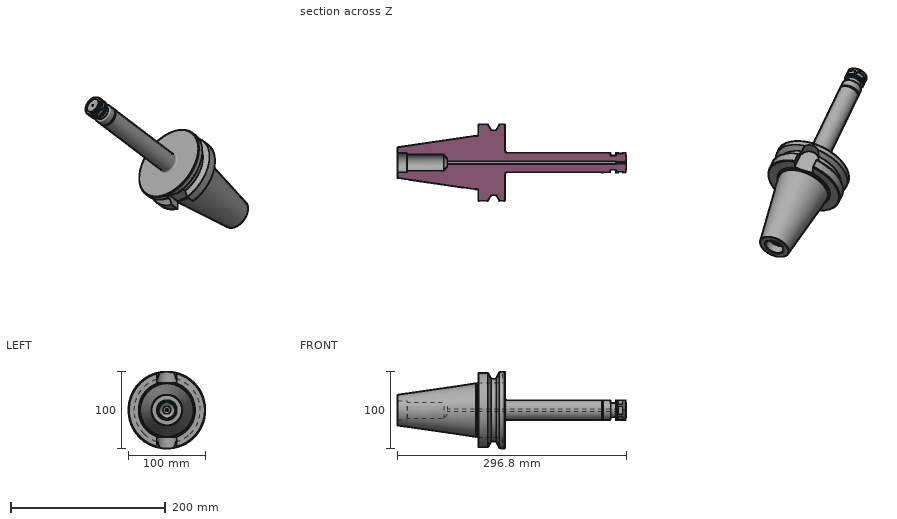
import cadquery as cq
import math


gauge_diameter = 69.85
gauge_radius = gauge_diameter / 2
taper_length = 101.8
taper_ratio = 7 / 24
taper_end_chamfer = 0.5
taper_end_radius = gauge_radius - taper_length * taper_ratio / 2

neck_radius = 34.4
neck_start = 1.3
neck_end = 2.1
neck_flare_radius = 36.7

flange_start = 3.0
flange_end = 38.0
flange_radius = 50.0
flange_chamfer = 1.0
groove_center = 23.1
groove_depth = 7.3
groove_floor_half = 3.2
groove_flank_angle = 30.0
groove_mouth_half = groove_floor_half + groove_depth * math.tan(math.radians(groove_flank_angle))

slot_width = 25.7
slot_floor = 35.4
slot_end = 34.0

stem_radius = 13.0
stem_root_fillet = 2.5
stem_end = 174.7
stem_tip_fillet = 1.6
ring_start = 163.2
ring_width = 1.7
ring_depth = 0.1
throat_radius = 9.5

nut_start = 181.6
nut_end = 194.3
nut_radius = 13.0
nut_tip_length = 0.8
nut_tip_radius = 12.6
nut_ring_start = 182.6
nut_ring_width = 0.8
collet_radius = 9.5
collet_end = 195.0
flat_count = 6
flat_start = 184.3
flat_end = 190.2
flat_distance = 11.9

mouth_radius = 13.0
mouth_chamfer = 0.7
pilot_radius = mouth_radius - mouth_chamfer
pilot_depth = 12.0
bore_radius = 10.5
bore_shoulder_angle = 60.0
bore_depth = 60.0
drill_half_angle = 50.0
cone_end_radius = 5.0
coolant_hole_radius = 1.75
collet_hole_radius = 0.85


def revolve_about_x(outline):
    """Turn a half outline, drawn as X and radius, into a solid about the X axis."""
    return outline.close().revolve(360, (0, 0, 0), (1, 0, 0))


def make_shank_and_flange():
    """Taper, neck and flange up to the flange's front face."""
    chamfer_outer_radius = taper_end_radius + taper_end_chamfer * taper_ratio / 2
    outline = (
        cq.Workplane("XY")
        .moveTo(-taper_length, 0)
        .lineTo(-taper_length, taper_end_radius - taper_end_chamfer)
        .lineTo(-taper_length + taper_end_chamfer, chamfer_outer_radius)
        .lineTo(0, gauge_radius)
        .lineTo(neck_start, neck_radius)
        .lineTo(neck_end, neck_radius)
        .lineTo(flange_start, neck_flare_radius)
        .lineTo(flange_start, flange_radius - flange_chamfer)
        .lineTo(flange_start + flange_chamfer, flange_radius)
        .lineTo(flange_end - flange_chamfer, flange_radius)
        .lineTo(flange_end, flange_radius - flange_chamfer)
        .lineTo(flange_end, 0)
    )
    return revolve_about_x(outline)


def make_gripper_groove():
    """Ring-shaped cutter for the trapezoidal groove around the flange."""
    floor_radius = flange_radius - groove_depth
    outline = (
        cq.Workplane("XY")
        .moveTo(groove_center - groove_mouth_half, flange_radius)
        .lineTo(groove_center - groove_floor_half, floor_radius)
        .lineTo(groove_center + groove_floor_half, floor_radius)
        .lineTo(groove_center + groove_mouth_half, flange_radius)
    )
    return revolve_about_x(outline)


def make_drive_slot(side):
    """Round-ended slot cutter, open toward the taper; side is +1 for +Z, -1 for -Z."""
    half_width = slot_width / 2
    arc_center = slot_end - half_width
    return (
        cq.Workplane("XY", origin=(0, 0, side * slot_floor))
        .moveTo(0, -half_width)
        .lineTo(arc_center, -half_width)
        .threePointArc((slot_end, 0), (arc_center, half_width))
        .lineTo(0, half_width)
        .close()
        .extrude(side * (flange_radius - slot_floor))
    )


def make_stem():
    """Stem with a filleted root, a shallow ring groove and a rounded tip, plus the throat."""
    ring_radius = stem_radius - ring_depth
    outline = (
        cq.Workplane("XY")
        .moveTo(flange_end, 0)
        .lineTo(flange_end, stem_radius + stem_root_fillet)
        .radiusArc((flange_end + stem_root_fillet, stem_radius), -stem_root_fillet)
        .lineTo(ring_start, stem_radius)
        .lineTo(ring_start, ring_radius)
        .lineTo(ring_start + ring_width, ring_radius)
        .lineTo(ring_start + ring_width, stem_radius)
        .lineTo(stem_end - stem_tip_fillet, stem_radius)
        .radiusArc((stem_end, stem_radius - stem_tip_fillet), stem_tip_fillet)
        .lineTo(stem_end, throat_radius)
        .lineTo(nut_start, throat_radius)
        .lineTo(nut_start, 0)
    )
    return revolve_about_x(outline)


def make_nut_flat(index):
    """Cutter for one wrench flat, turned about X to its place."""
    flat_length = flat_end - flat_start
    cutter_height = nut_radius - flat_distance
    cutter = (
        cq.Workplane("XY")
        .box(flat_length, cutter_height, 2 * nut_radius, centered=(False, False, True))
        .translate((flat_start, flat_distance, 0))
    )
    return cutter.rotate((0, 0, 0), (1, 0, 0), index * 360 / flat_count)


def make_nut():
    """Collet nut with a shallow ring groove and wrench flats, plus the collet face."""
    ring_radius = nut_radius - ring_depth
    outline = (
        cq.Workplane("XY")
        .moveTo(nut_start, 0)
        .lineTo(nut_start, nut_radius)
        .lineTo(nut_ring_start, nut_radius)
        .lineTo(nut_ring_start, ring_radius)
        .lineTo(nut_ring_start + nut_ring_width, ring_radius)
        .lineTo(nut_ring_start + nut_ring_width, nut_radius)
        .lineTo(nut_end - nut_tip_length, nut_radius)
        .lineTo(nut_end, nut_tip_radius)
        .lineTo(nut_end, collet_radius)
        .lineTo(collet_end, collet_radius)
        .lineTo(collet_end, 0)
    )
    nut = revolve_about_x(outline)
    for index in range(flat_count):
        nut = nut.cut(make_nut_flat(index))
    return nut


def make_bore():
    """Cutter for the stepped bore, its conical bottom and the coolant and collet holes."""
    shoulder_length = (pilot_radius - bore_radius) / math.tan(math.radians(bore_shoulder_angle))
    cone_length = (bore_radius - cone_end_radius) / math.tan(math.radians(drill_half_angle))
    outline = (
        cq.Workplane("XY")
        .moveTo(-taper_length, 0)
        .lineTo(-taper_length, mouth_radius)
        .lineTo(-taper_length + mouth_chamfer, pilot_radius)
        .lineTo(-taper_length + pilot_depth, pilot_radius)
        .lineTo(-taper_length + pilot_depth + shoulder_length, bore_radius)
        .lineTo(-taper_length + bore_depth, bore_radius)
        .lineTo(-taper_length + bore_depth + cone_length, cone_end_radius)
        .lineTo(-taper_length + bore_depth + cone_length, coolant_hole_radius)
        .lineTo(nut_start, coolant_hole_radius)
        .lineTo(nut_start, collet_hole_radius)
        .lineTo(collet_end, collet_hole_radius)
        .lineTo(collet_end, 0)
    )
    return revolve_about_x(outline)


holder = make_shank_and_flange().cut(make_gripper_groove())
for slot_side in (1, -1):
    holder = holder.cut(make_drive_slot(slot_side))

result = holder.union(make_stem()).union(make_nut()).cut(make_bore())